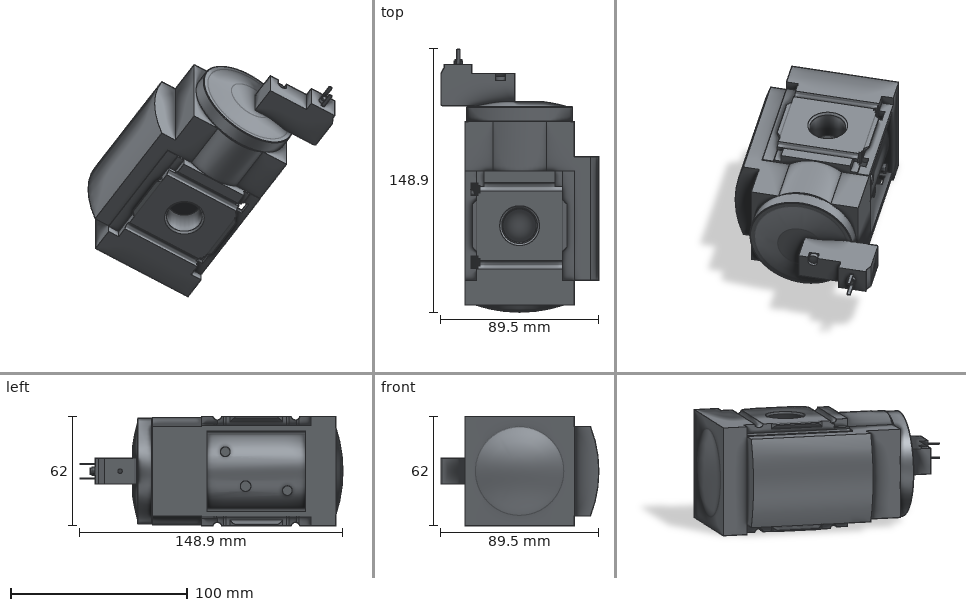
import cadquery as cq
import math

BODY_HALF = 31.0
FRONT_Y = -44.9
MAIN_BACK_Y = 31.0
BARREL_BACK_Y = 58.9
FLAT_HALF_Z = 25.4

CROWN_RADIUS = 25.0
CROWN_TOP_Z = 30.5
CROWN_CENTRE_Z = CROWN_TOP_Z - CROWN_RADIUS

FRONT_DOME_RADIUS = 25.0
FRONT_DOME_HEIGHT = 4.1

DISC_RADIUS = 30.0
DISC_NECK_RADIUS = 29.0
DISC_NECK_LENGTH = 0.4
DISC_BACK_Y = 67.3
DISC_CHAMFER = 0.4
CAP_SPHERE_RADIUS = 100.0
CAP_BASE_RADIUS = 27.2
CAP_FLAT_Y = 70.2

COVER_BACK_Y = 39.1
COVER_EDGE_X = 40.1
COVER_CREST_X = 44.9

CORNER_INNER_X = 24.3
CORNER_FLOOR_Z = 25.9
CORNER_HALF_LENGTH = 31.0

GROOVE_DIAMETER = 5.0
GROOVE_Y = 22.1
GROOVE_DEPTH = 2.0
LAND_HALF_X = 20.1
LAND_STEP_Z = 26.8
PORT_DIAMETER = 20.2
PORT_FLOOR_DIAMETER = 18.8
PORT_RIM_DIAMETER = 22.5
PORT_DEPTH = 16.0

LIP_TIP_X = 26.75
LIP_ROOT_HALF_Y = 14.8
LIP_TIP_HALF_Y = 12.2
LIP_SECTION = [
    (CORNER_INNER_X, BODY_HALF),
    (LIP_TIP_X, 30.8),
    (LIP_TIP_X, 30.1),
    (26.0, 29.65),
    (25.0, 28.75),
    (CORNER_INNER_X, 27.75),
]

POCKET_HALF_Y = 27.9
POCKET_HALF_Z = 22.7
INNER_CYLINDER_RADIUS = 29.0
POCKET_FILLET = 1.0

SLOT_Y = 20.6
SLOT_OUTER_X = -27.6
SLOT_STEP_X = -23.6
SLOT_INNER_X = -22.4
SLOT_WIDTH = 7.0
SLOT_NECK_WIDTH = 4.2

PINS = [
    (17.6, 11.0, 5.5, -30.0),
    (-17.5, -11.0, 5.5, -30.0),
    (6.1, -8.5, 6.0, -28.5),
]
PIN_ROOT_X = -18.0

BLOCK_LEFT_X = -44.55
BLOCK_RIGHT_X = -2.7
BLOCK_STEP_X = -27.0
BLOCK_BASE_Y = 67.8
BLOCK_LOW_Y = 86.2
BLOCK_TOP_Y = 91.2
BLOCK_HALF_Z = 7.4
BEVEL_LOW_Y = 86.0
BEVEL_HIGH_Y = 89.4
BEVEL_WIDTH = 1.8
BLOCK_EDGE_FILLET = 1.0
SIDE_HOLE_DIAMETER = 2.5
SIDE_HOLE_Y = 77.1
SIDE_HOLE_DEPTH = 2.0

SCREW_X = -10.8
SCREW_Z = 4.5
SCREW_RECESS_DIAMETER = 5.5
SCREW_HEAD_DIAMETER = 5.4
SCREW_FLOOR_Y = 82.1
SCREW_HEAD_TOP_Y = 84.5

CONTACT_X = -34.6
CONTACT_TIP_Y = 99.9
CONTACT_WIDTH = 2.0
CONTACT_THICKNESS = 0.5
CONTACT_SPACING = 8.1
CONTACT_TIP_CHAMFER = 0.4
STUB_STEPS = [(4.8, 1.9), (3.8, 2.8)]


def box(x0, x1, y0, y1, z0, z1):
    """Box between two opposite corners."""
    return cq.Workplane("XY").box(x1 - x0, y1 - y0, z1 - z0, centered=False).translate((x0, y0, z0))


def cylinder(start, axis, radius, length):
    """Cylinder growing from a start point along an axis."""
    return cq.Workplane(cq.Solid.makeCylinder(radius, length, cq.Vector(*start), cq.Vector(*axis)))


def both_faces(shape):
    """The shape together with its mirror image below the XY plane."""
    return shape.union(shape.mirror("XY"))


def revolve_about_y(profile):
    """Solid of revolution about the Y axis from a closed (radius, y) profile."""
    return profile.close().revolve(360, (0, 0, 0), (0, 1, 0))


def make_front_dome():
    sphere_radius = (FRONT_DOME_RADIUS**2 + FRONT_DOME_HEIGHT**2) / (2 * FRONT_DOME_HEIGHT)
    half_radius = FRONT_DOME_RADIUS / 2
    apex_y = FRONT_Y - FRONT_DOME_HEIGHT
    arc_y = apex_y + sphere_radius - math.sqrt(sphere_radius**2 - half_radius**2)
    profile = (
        cq.Workplane("XY")
        .moveTo(0, apex_y)
        .threePointArc((half_radius, arc_y), (FRONT_DOME_RADIUS, FRONT_Y))
        .lineTo(0, FRONT_Y)
    )
    return revolve_about_y(profile)


def make_barrel():
    barrel = box(-BODY_HALF, BODY_HALF, MAIN_BACK_Y, BARREL_BACK_Y, -FLAT_HALF_Z, FLAT_HALF_Z)
    length = BARREL_BACK_Y - MAIN_BACK_Y
    crown = cylinder((0, MAIN_BACK_Y, CROWN_CENTRE_Z), (0, 1, 0), CROWN_RADIUS, length)
    return barrel.union(both_faces(crown))


def make_disc():
    disc_start_y = BARREL_BACK_Y + DISC_NECK_LENGTH
    neck = cylinder((0, BARREL_BACK_Y, 0), (0, 1, 0), DISC_NECK_RADIUS, DISC_NECK_LENGTH)
    disc = cylinder((0, disc_start_y, 0), (0, 1, 0), DISC_RADIUS, DISC_BACK_Y - disc_start_y)
    disc = disc.faces(">Y").chamfer(DISC_CHAMFER)

    centre_y = DISC_BACK_Y - math.sqrt(CAP_SPHERE_RADIUS**2 - CAP_BASE_RADIUS**2)
    flat_radius = math.sqrt(CAP_SPHERE_RADIUS**2 - (CAP_FLAT_Y - centre_y) ** 2)
    middle_radius = (flat_radius + CAP_BASE_RADIUS) / 2
    middle_y = centre_y + math.sqrt(CAP_SPHERE_RADIUS**2 - middle_radius**2)
    profile = (
        cq.Workplane("XY")
        .moveTo(0, DISC_BACK_Y)
        .lineTo(CAP_BASE_RADIUS, DISC_BACK_Y)
        .threePointArc((middle_radius, middle_y), (flat_radius, CAP_FLAT_Y))
        .lineTo(0, CAP_FLAT_Y)
    )
    return neck.union(disc).union(revolve_about_y(profile))


def make_cover():
    return (
        cq.Workplane("XZ", origin=(0, COVER_BACK_Y, 0))
        .moveTo(BODY_HALF, -FLAT_HALF_Z)
        .lineTo(COVER_EDGE_X, -FLAT_HALF_Z)
        .threePointArc((COVER_CREST_X, 0), (COVER_EDGE_X, FLAT_HALF_Z))
        .lineTo(BODY_HALF, FLAT_HALF_Z)
        .close()
        .extrude(COVER_BACK_Y + CORNER_HALF_LENGTH)
    )


def cut_port_faces(body):
    for side in (-1, 1):
        inner, outer = sorted((side * CORNER_INNER_X, side * BODY_HALF))
        recess = box(inner, outer, -CORNER_HALF_LENGTH, CORNER_HALF_LENGTH, CORNER_FLOOR_Z, BODY_HALF)
        body = body.cut(both_faces(recess))

        inner, outer = sorted((side * LAND_HALF_X, side * CORNER_INNER_X))
        step = box(inner, outer, GROOVE_Y, MAIN_BACK_Y, LAND_STEP_Z, BODY_HALF)
        body = body.cut(both_faces(step))

        axis_z = BODY_HALF - GROOVE_DEPTH + GROOVE_DIAMETER / 2
        start = (-CORNER_INNER_X, side * GROOVE_Y, axis_z)
        groove = cylinder(start, (1, 0, 0), GROOVE_DIAMETER / 2, 2 * CORNER_INNER_X)
        body = body.cut(both_faces(groove))

    return body.cut(both_faces(make_port()))


def make_port():
    """Slightly tapered blind port with a 45 degree countersunk rim, opening at +Z."""
    rim_depth = (PORT_RIM_DIAMETER - PORT_DIAMETER) / 2
    profile = (
        cq.Workplane("XZ")
        .moveTo(0, BODY_HALF)
        .lineTo(PORT_RIM_DIAMETER / 2, BODY_HALF)
        .lineTo(PORT_DIAMETER / 2, BODY_HALF - rim_depth)
        .lineTo(PORT_FLOOR_DIAMETER / 2, BODY_HALF - PORT_DEPTH)
        .lineTo(0, BODY_HALF - PORT_DEPTH)
        .close()
    )
    return profile.revolve(360, (0, 0, 0), (0, 1, 0))


def make_lip():
    """Hooked lip over the +X, +Z corner recess, narrowing towards its tip."""
    lip = (
        cq.Workplane("XZ", origin=(0, LIP_ROOT_HALF_Y, 0))
        .polyline(LIP_SECTION)
        .close()
        .extrude(2 * LIP_ROOT_HALF_Y)
    )
    plan = (
        cq.Workplane("XY")
        .moveTo(CORNER_INNER_X, -LIP_ROOT_HALF_Y)
        .lineTo(LIP_TIP_X, -LIP_TIP_HALF_Y)
        .lineTo(LIP_TIP_X, LIP_TIP_HALF_Y)
        .lineTo(CORNER_INNER_X, LIP_ROOT_HALF_Y)
        .close()
        .extrude(BODY_HALF)
    )
    return lip.intersect(plan)


def make_pocket():
    """Volume removed from the -X side, leaving the inner cylinder standing."""
    pocket = box(-BODY_HALF, 0, -POCKET_HALF_Y, POCKET_HALF_Y, -POCKET_HALF_Z, POCKET_HALF_Z)
    core = cylinder((0, -POCKET_HALF_Y, 0), (0, 1, 0), INNER_CYLINDER_RADIUS, 2 * POCKET_HALF_Y)
    pocket = pocket.cut(core)
    meeting_x = -math.sqrt(INNER_CYLINDER_RADIUS**2 - POCKET_HALF_Z**2)
    for side in (-1, 1):
        corner = cq.selectors.NearestToPointSelector((meeting_x, 0, side * POCKET_HALF_Z))
        pocket = pocket.edges(corner).fillet(POCKET_FILLET)
    return pocket


def cut_wall_slots(body):
    for y in (-SLOT_Y, SLOT_Y):
        for x0, x1, width in (
            (SLOT_OUTER_X, SLOT_STEP_X, SLOT_WIDTH),
            (SLOT_STEP_X, SLOT_INNER_X, SLOT_NECK_WIDTH),
        ):
            slot = box(x0, x1, y - width / 2, y + width / 2, POCKET_HALF_Z, BODY_HALF)
            body = body.cut(both_faces(slot))
    return body


def make_solenoid_block():
    block = (
        cq.Workplane("XY", origin=(0, 0, -BLOCK_HALF_Z))
        .moveTo(BLOCK_LEFT_X, BLOCK_BASE_Y)
        .lineTo(BLOCK_RIGHT_X, BLOCK_BASE_Y)
        .lineTo(BLOCK_RIGHT_X, BLOCK_LOW_Y)
        .lineTo(BLOCK_STEP_X, BLOCK_LOW_Y)
        .lineTo(BLOCK_STEP_X, BLOCK_TOP_Y)
        .lineTo(BLOCK_LEFT_X + BEVEL_WIDTH, BLOCK_TOP_Y)
        .lineTo(BLOCK_LEFT_X + BEVEL_WIDTH, BEVEL_HIGH_Y)
        .lineTo(BLOCK_LEFT_X, BEVEL_LOW_Y)
        .close()
        .extrude(2 * BLOCK_HALF_Z)
    )
    lower_left = cq.selectors.NearestToPointSelector((BLOCK_LEFT_X, BLOCK_BASE_Y, 0))
    block = block.edges(lower_left).fillet(BLOCK_EDGE_FILLET)
    side_hole_start = (BLOCK_LEFT_X, SIDE_HOLE_Y, 0)
    block = block.cut(cylinder(side_hole_start, (1, 0, 0), SIDE_HOLE_DIAMETER / 2, SIDE_HOLE_DEPTH))

    recess_radius = SCREW_RECESS_DIAMETER / 2
    screw_start = (SCREW_X, SCREW_FLOOR_Y, SCREW_Z)
    recess = cylinder(screw_start, (0, 1, 0), recess_radius, BLOCK_LOW_Y - SCREW_FLOOR_Y)
    opening = box(
        SCREW_X - recess_radius, SCREW_X + recess_radius,
        SCREW_FLOOR_Y, BLOCK_LOW_Y,
        SCREW_Z, BLOCK_HALF_Z,
    )
    head_height = SCREW_HEAD_TOP_Y - SCREW_FLOOR_Y
    head = cylinder(screw_start, (0, 1, 0), SCREW_HEAD_DIAMETER / 2, head_height)
    return block.cut(recess).cut(opening).union(head)


def make_contacts():
    contacts = cq.Workplane("XY")
    for diameter, height in STUB_STEPS:
        contacts = contacts.union(cylinder((CONTACT_X, BLOCK_TOP_Y, 0), (0, 1, 0), diameter / 2, height))
    half_width = CONTACT_WIDTH / 2
    half_thickness = CONTACT_THICKNESS / 2
    for z in (-CONTACT_SPACING / 2, CONTACT_SPACING / 2):
        blade = box(
            CONTACT_X - half_width, CONTACT_X + half_width,
            BLOCK_TOP_Y, CONTACT_TIP_Y,
            z - half_thickness, z + half_thickness,
        )
        blade = blade.faces(">Y").edges("|Z").chamfer(CONTACT_TIP_CHAMFER)
        contacts = contacts.union(blade)
    return contacts


body = box(-BODY_HALF, BODY_HALF, FRONT_Y, MAIN_BACK_Y, -BODY_HALF, BODY_HALF)
body = cut_port_faces(body)
body = body.cut(make_pocket())
body = cut_wall_slots(body)

lips = both_faces(make_lip())
body = body.union(lips).union(lips.mirror("YZ"))

for pin_y, pin_z, pin_diameter, pin_end_x in PINS:
    pin_length = PIN_ROOT_X - pin_end_x
    body = body.union(cylinder((pin_end_x, pin_y, pin_z), (1, 0, 0), pin_diameter / 2, pin_length))

body = body.union(make_front_dome()).union(make_barrel()).union(make_cover()).union(make_disc())
result = body.union(make_solenoid_block()).union(make_contacts())